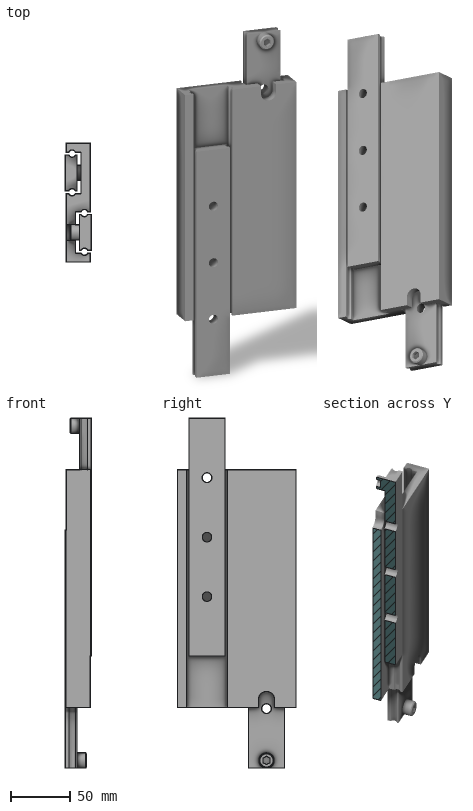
import cadquery as cq
import math


HOUSING_THICKNESS = 20.3
HOUSING_WIDTH = 100.0
LENGTH = 200.3
CHANNEL_WIDTH = 34.8
CHANNEL_DEPTH = 12.5
CHANNEL_OFFSET = HOUSING_WIDTH / 4

RAIL_WIDTH = 30.3
RAIL_THICKNESS = 10.0
RAIL_PROTRUSION = 1.0
UPPER_TRAVEL = 43.3
LOWER_TRAVEL = 294.5 - LENGTH - UPPER_TRAVEL
HOLE_DIAMETER = 8.0
HOLE_PITCH = 50.0
HOLE_COUNT = 3

TRACK_RADIUS = 3.0
TRACK_DEPTH = 5.0
TRACK_SPACING = (CHANNEL_WIDTH + RAIL_WIDTH) / 2

HEAD_DIAMETER = 13.0
HEAD_HEIGHT = 8.0
HEAD_CHAMFER = 1.0
HEAD_INSET = 6.5
SOCKET_ACROSS_FLATS = 6.2
SOCKET_DEPTH = 3.8

NOTCH_WIDTH = 13.5
NOTCH_DEPTH = 13.5

HOUSING_FACE = -HOUSING_THICKNESS / 2
RAIL_OUTER = HOUSING_FACE - RAIL_PROTRUSION
RAIL_INNER = RAIL_OUTER + RAIL_THICKNESS


def x_box(x_start, x_end, width, length):
    """Box between two X positions, centred in Y and Z."""
    return cq.Workplane("YZ", origin=(x_start, 0, 0)).rect(width, length).extrude(x_end - x_start)


def x_cylinder(x_start, x_end, diameter, z):
    """Cylinder along X, centred in Y."""
    return cq.Workplane("YZ", origin=(x_start, 0, z)).circle(diameter / 2).extrude(x_end - x_start)


def ball_tracks():
    """Pair of round bars that form the tracks on both sides of a rail."""
    return (
        cq.Workplane("XY", origin=(HOUSING_FACE + TRACK_DEPTH, 0, -LENGTH / 2))
        .pushPoints([(0, TRACK_SPACING / 2), (0, -TRACK_SPACING / 2)])
        .circle(TRACK_RADIUS)
        .extrude(LENGTH)
    )


def screw_head():
    """Socket head on the inner rail face, near the lower end."""
    z = HEAD_INSET - LENGTH / 2
    head_end = RAIL_INNER + HEAD_HEIGHT
    head = x_cylinder(RAIL_INNER, head_end, HEAD_DIAMETER, z).faces(">X").chamfer(HEAD_CHAMFER)
    socket = (
        cq.Workplane("YZ", origin=(head_end, 0, z))
        .transformed(rotate=(0, 0, 90))
        .polygon(6, SOCKET_ACROSS_FLATS / math.cos(math.pi / 6))
        .extrude(-SOCKET_DEPTH)
    )
    return head.cut(socket)


def make_rail():
    """Rail facing -X, with its stop screw head at the lower end."""
    rail = x_box(RAIL_OUTER, RAIL_INNER, RAIL_WIDTH, LENGTH).cut(ball_tracks())
    for index in range(HOLE_COUNT):
        z = (index - (HOLE_COUNT - 1) / 2) * HOLE_PITCH
        rail = rail.cut(x_cylinder(RAIL_OUTER, RAIL_INNER, HOLE_DIAMETER, z))
    return rail.union(screw_head())


def channel_cutter():
    """Channel open to -X with its tracks, and the notch through its floor at the lower end."""
    channel_floor = HOUSING_FACE + CHANNEL_DEPTH
    notch_far_side = HOUSING_THICKNESS / 2
    channel = x_box(HOUSING_FACE, channel_floor, CHANNEL_WIDTH, LENGTH)
    straight_depth = NOTCH_DEPTH - NOTCH_WIDTH / 2
    notch_z = straight_depth - LENGTH / 2
    notch = x_cylinder(HOUSING_FACE, notch_far_side, NOTCH_WIDTH, notch_z)
    notch_mouth = x_box(HOUSING_FACE, notch_far_side, NOTCH_WIDTH, straight_depth).translate(
        (0, 0, notch_z - straight_depth / 2)
    )
    return channel.union(ball_tracks()).union(notch).union(notch_mouth)


def place_lower(shape):
    """Put a shape at the +Y channel, facing -X."""
    return shape.translate((0, CHANNEL_OFFSET, 0))


def place_upper(shape):
    """Turn a shape end for end to face +X and put it at the -Y channel."""
    return shape.rotate((0, 0, 0), (0, 1, 0), 180).translate((0, -CHANNEL_OFFSET, 0))


def make_housing():
    """Block with one channel on each broad face."""
    block = cq.Workplane("XY").box(HOUSING_THICKNESS, HOUSING_WIDTH, LENGTH)
    return block.cut(place_lower(channel_cutter())).cut(place_upper(channel_cutter()))


housing = make_housing()
lower_rail = place_lower(make_rail()).translate((0, 0, -LOWER_TRAVEL))
upper_rail = place_upper(make_rail()).translate((0, 0, UPPER_TRAVEL))

result = cq.Compound.makeCompound([housing.val(), lower_rail.val(), upper_rail.val()])